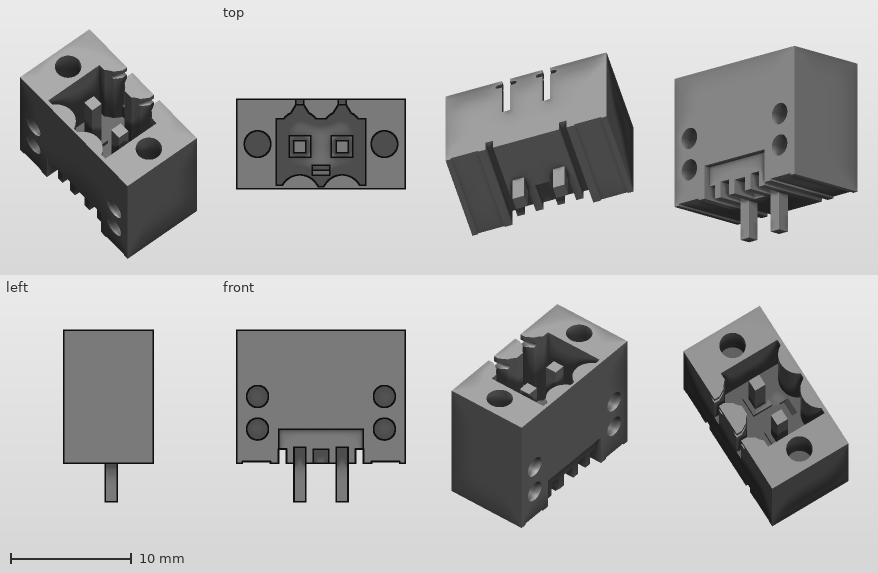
import cadquery as cq
import math


total_height = 14.25
width = 14.0
depth = 7.45
housing_height = 11.06
front_y = -depth / 2
back_y = depth / 2

pitch = 3.5
pin_xs = (-pitch / 2, pitch / 2)
pin_size = 1.01
pin_y = front_y + 3.5
pin_top = 9.88
pin_bottom = housing_height - total_height
pin_front_y = pin_y - pin_size / 2

cavity_width = 7.45
cavity_floor = 3.99
cavity_height = housing_height - cavity_floor
cavity_front_y = front_y + 0.31
cavity_back_y = back_y - 1.62

bump_radius = 1.65
bump_center_y = front_y - 0.48
notch_floor_y = front_y + 0.2
notch_mouth_y = front_y + 0.43
notch_floor_half_width = 0.23
notch_mouth_half_width = 0.34

bay_radius = 1.71
bay_center_y = back_y - 2.7
mouth_half_width = 0.74
slot_half_width = 0.34
slot_front_y = back_y - 0.48
slot_floor = 5.7

cross_slot_length = 1.82
cross_slot_height = 0.57
cross_slot_z = housing_height - 0.83

collar_size = 1.78
collar_height = 0.43
key_pocket_width = 1.45
key_pocket_front_y = front_y + 1.13
key_pocket_length = 0.85
key_pocket_depth = 0.43

hole_x = 5.26
screw_hole_diameter = 2.2
screw_hole_depth = 4.28
front_hole_diameter = 1.81
front_hole_depth = 2.0
lower_hole_z = 2.85
hole_spacing_z = 2.71

recess_width = 7.01
recess_height = 2.84
recess_depth = 0.64
leg_block_width = 5.74
channel_height = 1.18
pin_slot_width = 0.97
pin_slot_height = 1.34
middle_slot_width = 1.25
foot_gap_width = 2.32
foot_gap_x = 5.36
foot_gap_height = 0.15


def box(x, y_range, z_range, size_x):
    """Box centred on x, spanning the given Y and Z ranges."""
    y_min, y_max = y_range
    z_min, z_max = z_range
    solid = cq.Workplane("XY").box(size_x, y_max - y_min, z_max - z_min, centered=(True, False, False))
    return solid.translate((x, y_min, z_min))


def make_bay(x):
    """Round clearance in the cavity, with a flared mouth that leads to a slot through the back wall."""
    clearance = (
        cq.Workplane("XY", origin=(x, bay_center_y, cavity_floor))
        .circle(bay_radius)
        .extrude(cavity_height)
    )
    mouth_end_y = bay_center_y + math.sqrt(bay_radius**2 - mouth_half_width**2)
    mouth = (
        cq.Workplane("XY", origin=(x, 0, cavity_floor))
        .polyline([
            (-mouth_half_width, mouth_end_y),
            (-mouth_half_width, bay_center_y),
            (mouth_half_width, bay_center_y),
            (mouth_half_width, mouth_end_y),
            (slot_half_width, slot_front_y),
            (-slot_half_width, slot_front_y),
        ])
        .close()
        .extrude(cavity_height)
    )
    slot = box(x, (slot_front_y, back_y), (slot_floor, housing_height), 2 * slot_half_width)
    return clearance.union(mouth).union(slot)


def make_cross_slot(x):
    """Round-ended slot running in Y from the cavity through the back wall."""
    return (
        cq.Workplane("XZ", origin=(x, back_y, cross_slot_z))
        .slot2D(cross_slot_length, cross_slot_height)
        .extrude(back_y - cavity_back_y)
    )


def make_cavity():
    cavity = box(0, (cavity_front_y, cavity_back_y), (cavity_floor, housing_height), cavity_width)
    bumps = (
        cq.Workplane("XY", origin=(0, bump_center_y, cavity_floor))
        .pushPoints([(x, 0) for x in pin_xs])
        .circle(bump_radius)
        .extrude(cavity_height)
    )
    notch = (
        cq.Workplane("XY", origin=(0, 0, cavity_floor))
        .polyline([
            (-notch_floor_half_width, notch_floor_y),
            (notch_floor_half_width, notch_floor_y),
            (notch_mouth_half_width, notch_mouth_y),
            (-notch_mouth_half_width, notch_mouth_y),
        ])
        .close()
        .extrude(cavity_height)
    )
    cavity = cavity.cut(bumps).union(notch)
    for x in pin_xs:
        cavity = cavity.union(make_bay(x))
    return cavity


def make_key_pocket():
    """Pocket in the cavity floor: flat at the back, ramping up to the floor at the front."""
    return (
        cq.Workplane("YZ", origin=(-key_pocket_width / 2, key_pocket_front_y, cavity_floor))
        .polyline([
            (0, 0),
            (key_pocket_length / 2, -key_pocket_depth),
            (key_pocket_length, -key_pocket_depth),
            (key_pocket_length, 0),
        ])
        .close()
        .extrude(key_pocket_width)
    )


def cut_blind_holes(housing):
    hole_xs = (-hole_x, hole_x)
    screw_holes = (
        cq.Workplane("XY", origin=(0, 0, housing_height - screw_hole_depth))
        .pushPoints([(x, 0) for x in hole_xs])
        .circle(screw_hole_diameter / 2)
        .extrude(screw_hole_depth)
    )
    hole_zs = (lower_hole_z, lower_hole_z + hole_spacing_z)
    front_holes = (
        cq.Workplane("XZ", origin=(0, front_y, 0))
        .pushPoints([(x, z) for x in hole_xs for z in hole_zs])
        .circle(front_hole_diameter / 2)
        .extrude(-front_hole_depth)
    )
    return housing.cut(screw_holes).cut(front_holes)


def cut_underside(housing):
    """Front recess, side channels, slots between the legs and gaps between the feet."""
    full_depth = (front_y, back_y)
    slot_depth = (front_y, pin_front_y)
    channel_width = (recess_width - leg_block_width) / 2
    channel_x = (recess_width - channel_width) / 2
    housing = housing.cut(box(0, (front_y, front_y + recess_depth), (0, recess_height), recess_width))
    housing = housing.cut(box(0, slot_depth, (0, channel_height), middle_slot_width))
    for x in pin_xs:
        housing = housing.cut(box(x, slot_depth, (0, pin_slot_height), pin_slot_width))
    for side in (-1, 1):
        housing = housing.cut(box(side * channel_x, full_depth, (0, channel_height), channel_width))
        housing = housing.cut(box(side * foot_gap_x, full_depth, (0, foot_gap_height), foot_gap_width))
    return housing


def make_pin(x):
    y_range = (pin_front_y, pin_y + pin_size / 2)
    return box(x, y_range, (pin_bottom, pin_top), pin_size)


def make_housing():
    housing = box(0, (front_y, back_y), (0, housing_height), width).cut(make_cavity())
    housing = housing.cut(make_key_pocket())
    collar_y_range = (pin_y - collar_size / 2, pin_y + collar_size / 2)
    collar_z_range = (cavity_floor, cavity_floor + collar_height)
    for x in pin_xs:
        housing = housing.union(box(x, collar_y_range, collar_z_range, collar_size))
        housing = housing.cut(make_cross_slot(x))
    housing = cut_blind_holes(housing)
    housing = cut_underside(housing)
    for x in pin_xs:
        housing = housing.cut(make_pin(x))
    return housing


housing = make_housing()
pins = [make_pin(x) for x in pin_xs]

result = cq.Compound.makeCompound([housing.val(), *[pin.val() for pin in pins]])